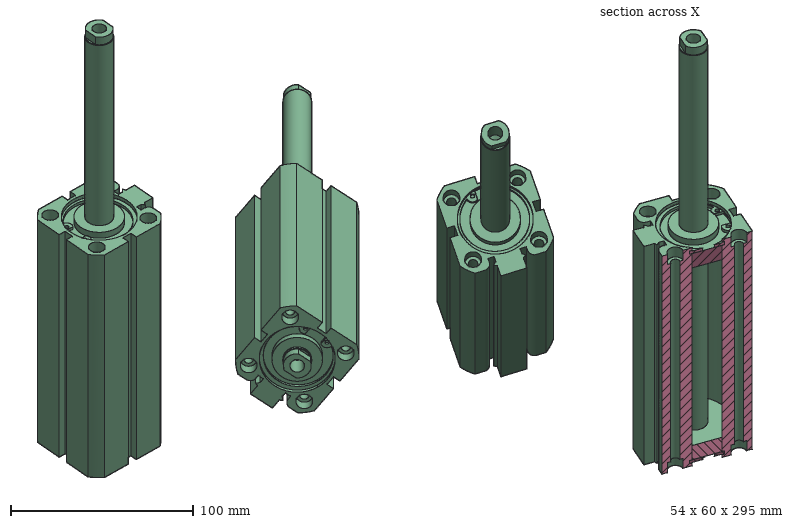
import cadquery as cq


total_length = 295.0
body_bottom = 7.0
body_length = 156.0
body_top = body_bottom + body_length
body_middle = body_bottom + body_length / 2

body_width = 54.0
total_depth = 60.0
half_width = body_width / 2
corner_radius = 34.0
bore_radius = 41.5 / 2
slot_width = 6.0
slot_depth = 4.5
bolt_pitch = 38.0
bolt_radius = 2.7
counterbore_radius = 9.0 / 2
counterbore_depth = 7.0

rail_width = 15.0
rail_top = total_depth - half_width
channel_width = 22.0
channel_floor = 21.0
ear_radius = 3.8
selection_margin = 0.3
ridge_height = 1.8
ridge_bottom = 24.0
ridge_peak = 25.7
ridge_top = 26.5

rod_radius = 8.0
neck_radius = 7.7
neck_length = 5.3
neck_across_flats = 13.0
shoulder_chamfer = 0.3
thread_radius = 8.0 / 2
thread_depth = 13.0
drill_tip_height = 2.5

cover_length = 14.8
boss_radius = 14.0
boss_height = 4.0

ring_thickness = 1.8
ring_radius = 21.5
ring_inner_radius = 19.2
ring_inner_shift = 1.0
lug_x = 7.5
lug_y = -17.5
lug_radius = 3.5
lug_hole_radius = 1.2
ring_gap = 10.5

cover_face = body_top - boss_height


def mirrored_to_bottom(body):
    """The same body at the other end of the housing."""
    return body.mirror("XY", (0, 0, body_middle))


def cylinder(radius, bottom, height, x=0.0, y=0.0):
    return cq.Workplane("XY", origin=(x, y, bottom)).circle(radius).extrude(height)


def prism(plan, bottom, height):
    """Extrude a closed list of XY points upward."""
    return cq.Workplane("XY", origin=(0, 0, bottom)).polyline(plan).close().extrude(height)


def block(x_size, y_size, x, y):
    """A bar along the whole housing, centred on (x, y)."""
    return cq.Workplane("XY", origin=(x, y, body_bottom)).rect(x_size, y_size).extrude(body_length)


def make_rail():
    rail_height = rail_top - channel_floor
    rail = block(rail_width, rail_height, 0, channel_floor + rail_height / 2)
    for side in (-1, 1):
        flank = side * rail_width / 2
        ridge = [
            (0, ridge_bottom),
            (flank, ridge_bottom),
            (flank + side * ridge_height, ridge_peak),
            (flank, ridge_top),
            (0, ridge_top),
        ]
        rail = rail.union(prism(ridge, body_bottom, body_length))
    return rail


def make_ring():
    inner_edge = cylinder(ring_inner_radius, cover_face, ring_thickness, y=-ring_inner_shift)
    disc = cylinder(ring_radius, cover_face, ring_thickness)
    ring = disc.cut(inner_edge)
    for side in (-1, 1):
        lug = cylinder(lug_radius, cover_face, ring_thickness, side * lug_x, lug_y)
        ring = ring.union(lug.intersect(disc))
    for side in (-1, 1):
        ring = ring.cut(cylinder(lug_hole_radius, cover_face, ring_thickness, side * lug_x, lug_y))
    gap = (
        cq.Workplane("XY", origin=(0, -ring_radius / 2, cover_face))
        .rect(ring_gap, ring_radius)
        .extrude(ring_thickness)
    )
    return ring.cut(gap)


def make_cover():
    plug = cylinder(bore_radius, body_top - cover_length, cover_length - boss_height)
    boss = cylinder(boss_radius, cover_face, boss_height)
    rod_hole = cylinder(rod_radius, body_top - cover_length, cover_length)
    return plug.union(boss).cut(rod_hole)


def make_housing():
    housing = block(body_width, body_width, 0, 0)
    housing = housing.intersect(cylinder(corner_radius, body_bottom, body_length))

    channel_depth = half_width - channel_floor
    housing = housing.cut(block(channel_width, channel_depth, 0, half_width - channel_depth / 2))
    ear_reach = channel_width / 2 + selection_margin
    ears = cq.selectors.BoxSelector(
        (-ear_reach, half_width - selection_margin, body_bottom),
        (ear_reach, half_width + selection_margin, body_top),
    )
    housing = housing.edges("|Z").edges(ears).fillet(ear_radius)
    housing = housing.union(make_rail())

    slot_centre = half_width - slot_depth / 2
    for side in (-1, 1):
        housing = housing.cut(block(slot_depth, slot_width, side * slot_centre, 0))
    housing = housing.cut(block(slot_width, slot_depth, 0, -slot_centre))

    housing = housing.cut(cylinder(bore_radius, body_bottom, body_length))
    groove = cylinder(ring_radius, cover_face, ring_thickness)
    housing = housing.cut(groove).cut(mirrored_to_bottom(groove))

    bolt_offset = bolt_pitch / 2
    for x in (-bolt_offset, bolt_offset):
        for y in (-bolt_offset, bolt_offset):
            counterbore = cylinder(counterbore_radius, body_top - counterbore_depth, counterbore_depth, x, y)
            housing = housing.cut(cylinder(bolt_radius, body_bottom, body_length, x, y))
            housing = housing.cut(counterbore).cut(mirrored_to_bottom(counterbore))
    return housing


def make_rod():
    shaft = cylinder(rod_radius, neck_length, total_length - 2 * neck_length)
    rod = shaft.faces("<Z or >Z").chamfer(shoulder_chamfer)
    for neck_bottom in (0, total_length - neck_length):
        flats = (
            cq.Workplane("XY", origin=(0, 0, neck_bottom))
            .rect(2 * neck_radius, neck_across_flats)
            .extrude(neck_length)
        )
        rod = rod.union(cylinder(neck_radius, neck_bottom, neck_length).intersect(flats))

    half_hole = [
        (0, total_length),
        (thread_radius, total_length),
        (thread_radius, total_length - thread_depth),
        (0, total_length - thread_depth - drill_tip_height),
    ]
    thread_hole = cq.Workplane("XZ").polyline(half_hole).close().revolve(360, (0, 0, 0), (0, 1, 0))
    return rod.cut(thread_hole).cut(thread_hole.mirror("XY", (0, 0, total_length / 2)))


housing = make_housing()
rod = make_rod()
top_cover = make_cover()
top_ring = make_ring()
covers = [top_cover, mirrored_to_bottom(top_cover)]
rings = [top_ring, mirrored_to_bottom(top_ring)]

result = cq.Compound.makeCompound([body.val() for body in (housing, rod, *covers, *rings)])